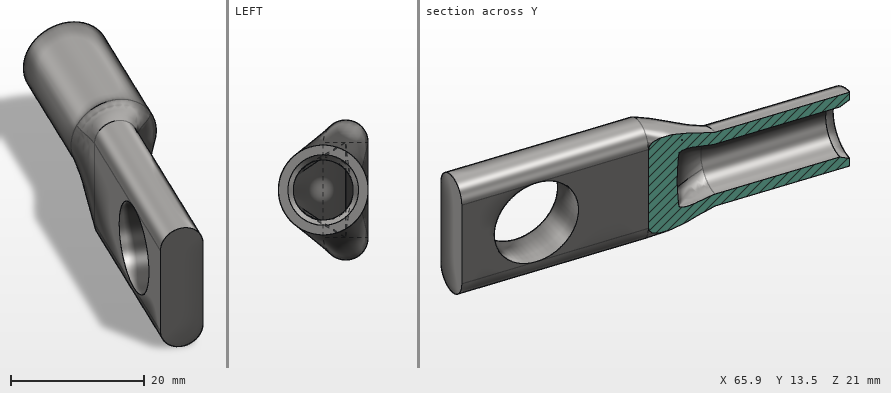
import cadquery as cq
import math

length = 65.88
tube_diameter = 13.49
tab_width = 21.03

tube_radius = tube_diameter / 2
tube_length = 22.9
bore_radius = 4.5
bore_mouth_radius = 5.3
countersink_depth = 1.7

tab_thickness = tube_radius
tab_start = 34.2
tab_middle_y = -tube_radius + tab_thickness / 2
tab_flat_width = tab_width - tab_thickness

slit_thickness = 0.05

hole_diameter = tab_flat_width
hole_x = 53.2

flat_arc_angle = math.radians(30)

transition_steps = 4
s_curve_strength = 0.03


def section_plane(x):
    """Plane across the part at x, with local axes along global Y and Z."""
    return cq.Plane(origin=(x, 0, 0), xDir=(0, 1, 0), normal=(1, 0, 0))


def circle_points(radius):
    """Corner and middle points of a circle split into four arcs, as (y, z) pairs."""
    y = radius * math.cos(flat_arc_angle)
    z = radius * math.sin(flat_arc_angle)
    return [(-y, -z), (-radius, 0), (-y, z), (0, radius), (y, z), (radius, 0), (y, -z), (0, -radius)]


def slot_points(thickness):
    """Corner and middle points of an upright slot on the tab middle plane, as (y, z) pairs."""
    middle = tab_middle_y
    front = middle - thickness / 2
    back = middle + thickness / 2
    flat = tab_flat_width / 2
    tip = flat + thickness / 2
    return [
        (front, -flat),
        (front, 0),
        (front, flat),
        (middle, tip),
        (back, flat),
        (back, 0),
        (back, -flat),
        (middle, -tip),
    ]


def blend_points(start_points, end_points, share):
    """Points part of the way from one section to another."""
    return [
        (y0 + share * (y1 - y0), z0 + share * (z1 - z0))
        for (y0, z0), (y1, z1) in zip(start_points, end_points)
    ]


def arc_section(x, points):
    """Closed outline at x made of four arcs, each through a corner, a middle and a corner."""
    outline = cq.Workplane(section_plane(x)).moveTo(*points[0])
    for middle in range(1, len(points), 2):
        outline = outline.threePointArc(points[middle], points[(middle + 1) % len(points)])
    return outline.close()


def circle_section(x, radius):
    """Circular outline at x."""
    return arc_section(x, circle_points(radius))


def slot_section(x, thickness):
    """Slot outline at x with flat sides and round ends."""
    points = slot_points(thickness)
    return (
        cq.Workplane(section_plane(x))
        .moveTo(*points[0])
        .lineTo(*points[2])
        .threePointArc(points[3], points[4])
        .lineTo(*points[6])
        .threePointArc(points[7], points[0])
        .close()
    )


def make_transition(radius, thickness):
    """Solid that swings in a slight S-curve from a circle at the tube end to a slot at the tab."""
    start_points = circle_points(radius)
    end_points = slot_points(thickness)
    sections = [circle_section(tube_length, radius)]
    for step in range(1, transition_steps):
        progress = step / transition_steps
        share = progress - s_curve_strength * math.sin(2 * math.pi * progress)
        x = tube_length + progress * (tab_start - tube_length)
        sections.append(arc_section(x, blend_points(start_points, end_points, share)))
    sections.append(slot_section(tab_start, thickness))
    return cq.Workplane(cq.Solid.makeLoft([section.wires().val() for section in sections]))


def make_body():
    """Solid tube, transition and tab joined end to end."""
    tube = circle_section(0, tube_radius).extrude(tube_length)
    tab = slot_section(tab_start, tab_thickness).extrude(length - tab_start)
    return tube.union(make_transition(tube_radius, tab_thickness)).union(tab)


def make_bore():
    """Tube bore with a countersunk mouth, closing to a slit at the tab."""
    bore = circle_section(0, bore_radius).extrude(tube_length)
    countersink = cq.Workplane(
        cq.Solid.makeCone(
            bore_mouth_radius,
            bore_radius,
            countersink_depth,
            dir=cq.Vector(1, 0, 0),
        )
    )
    return bore.union(make_transition(bore_radius, slit_thickness)).union(countersink)


def make_bolt_hole():
    """Cylinder along Y that passes through the tab."""
    return (
        cq.Workplane("XZ", origin=(hole_x, 0, 0))
        .circle(hole_diameter / 2)
        .extrude(tube_diameter, both=True)
    )


result = make_body().cut(make_bore()).cut(make_bolt_hole())